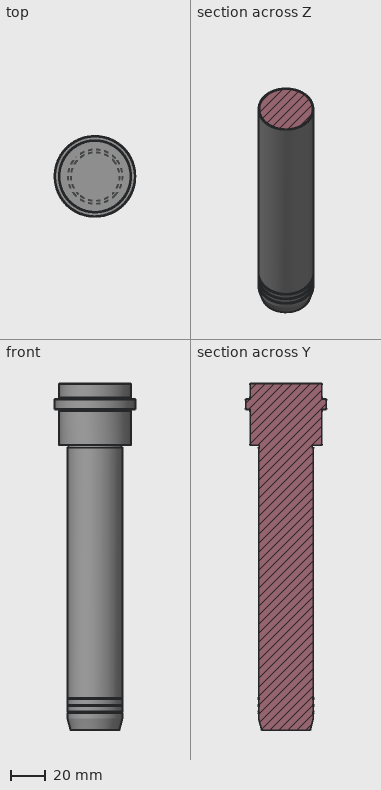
import cadquery as cq

total_length = 201.0

head_diameter = 42.0
head_length = 36.0
head_edge_chamfer = 0.5
collar_diameter = 47.0
collar_thickness = 6.2
collar_offset = 9.0
collar_edge_chamfer = 0.5
relief_width = 1.0
relief_depth = 0.2

shaft_diameter = 32.0
neck_length = 1.2
neck_depth = 0.5

groove_count = 3
first_groove_height = 10.5
groove_pitch = 4.0
groove_width = 1.0
groove_depth = 0.5

lead_in_length = 7.0
tip_diameter = 28.6
tip_chamfer = 0.5

head_bottom = total_length - head_length
collar_top = total_length - collar_offset
collar_bottom = collar_top - collar_thickness


def disc(diameter, bottom, height):
    """Solid cylinder on the Z axis."""
    return cq.Workplane("XY", origin=(0, 0, bottom)).circle(diameter / 2).extrude(height)


def ring_cut(outer_diameter, depth, bottom, width):
    """Ring that cuts a square groove into a cylinder of the given diameter."""
    clearance = 1.0
    outer_radius = outer_diameter / 2 + clearance
    inner_radius = outer_diameter / 2 - depth
    plane = cq.Workplane("XY", origin=(0, 0, bottom))
    return plane.circle(outer_radius).circle(inner_radius).extrude(width)


def vee_cut(height):
    """Ring that cuts a V-shaped oil groove centred at the given height."""
    shaft_radius = shaft_diameter / 2
    return (
        cq.Workplane("XZ")
        .moveTo(shaft_radius, height - groove_width / 2)
        .lineTo(shaft_radius - groove_depth, height)
        .lineTo(shaft_radius, height + groove_width / 2)
        .close()
        .revolve(360, (0, 0), (0, 1))
    )


def make_head():
    head = disc(head_diameter, head_bottom, head_length)
    head = head.faces("<Z or >Z").chamfer(head_edge_chamfer)
    for bottom in (collar_top, collar_bottom - relief_width):
        head = head.cut(ring_cut(head_diameter, relief_depth, bottom, relief_width))
    collar = disc(collar_diameter, collar_bottom, collar_thickness)
    return head.union(collar.faces("<Z or >Z").chamfer(collar_edge_chamfer))


def make_shaft():
    shaft_radius = shaft_diameter / 2
    tip_radius = tip_diameter / 2
    shaft = (
        cq.Workplane("XZ")
        .lineTo(tip_radius - tip_chamfer, 0)
        .lineTo(tip_radius, tip_chamfer)
        .lineTo(shaft_radius, lead_in_length)
        .lineTo(shaft_radius, head_bottom)
        .lineTo(0, head_bottom)
        .close()
        .revolve(360, (0, 0), (0, 1))
    )
    neck_bottom = head_bottom - neck_length
    shaft = shaft.cut(ring_cut(shaft_diameter, neck_depth, neck_bottom, neck_length))
    for index in range(groove_count):
        height = first_groove_height + index * groove_pitch
        shaft = shaft.cut(vee_cut(height))
    return shaft


result = make_shaft().union(make_head())